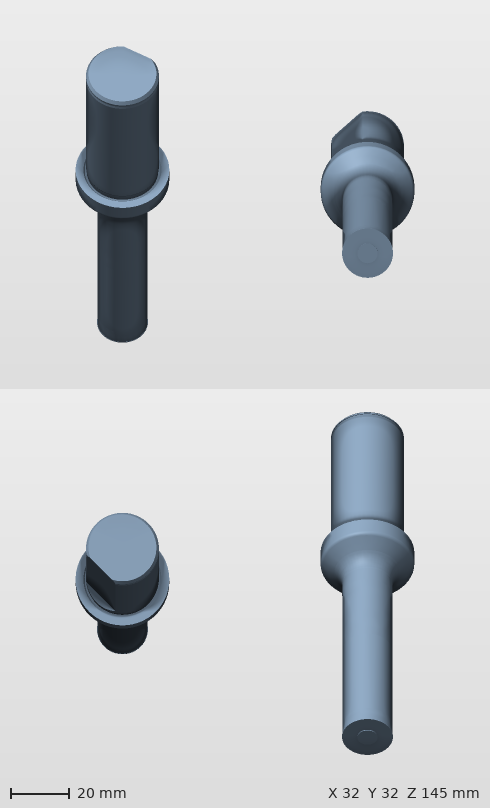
import cadquery as cq
import math

total_length = 145.0
collar_top = 89.0
collar_edge_bottom = 83.5
flare_bottom = 73.1
neck_bottom = 67.7
taper_bottom = 41.6
end_flare_top = 5.8
disc_top = 0.6
nub_height = 0.3

shank_radius = 25.0 / 2
groove_radius = 24.5 / 2
collar_radius = 32.0 / 2
neck_radius = 17.3 / 2
stem_radius = 17.0 / 2
disc_radius = 8.7
nub_radius = 3.5

end_chamfer_width = 0.9
end_chamfer_height = 1.2
end_groove_top = 143.4
end_groove_bottom = 142.7
end_groove_ramp_bottom = 141.8

undercut_top = 91.0
undercut_ramp_height = 0.6
recess_radius = 13.3
recess_depth = 0.5

flare_angle = math.radians(39)
flare_slope = math.tan(flare_angle)
collar_blend_length = 0.9
cone_collar_height = collar_edge_bottom - collar_blend_length
cone_neck_height = cone_collar_height - flare_slope * (collar_radius - neck_radius)


def cone_point(radius):
    """Point of the flare cone at the given radius."""
    return radius, cone_neck_height + flare_slope * (radius - neck_radius)


neck_blend_length = cone_neck_height - flare_bottom
cone_bottom = cone_point(neck_radius + neck_blend_length * math.cos(flare_angle))
cone_top = cone_point(collar_radius - collar_blend_length * math.cos(flare_angle))

flat_distance = 10.3
flat_bottom = 95.0


def drive_flat_cutter():
    """Block that removes the flat, with a sloped run-out at its lower end."""
    overshoot = 2 * (collar_radius - flat_distance)
    outer_y = flat_distance + overshoot
    return (
        cq.Workplane("YZ")
        .moveTo(flat_distance, flat_bottom)
        .lineTo(outer_y, flat_bottom - overshoot)
        .lineTo(outer_y, total_length + overshoot)
        .lineTo(flat_distance, total_length + overshoot)
        .close()
        .extrude(collar_radius, both=True)
    )


def make_holder():
    """Turned shank, collar and stem."""
    turned_body = (
        cq.Workplane("XZ")
        .moveTo(0, disc_top)
        .lineTo(neck_radius, disc_top)
        .lineTo(stem_radius, end_flare_top)
        .lineTo(stem_radius, taper_bottom)
        .lineTo(neck_radius, neck_bottom)
        .lineTo(neck_radius, flare_bottom)
        .tangentArcPoint(cone_bottom, relative=False)
        .lineTo(*cone_top)
        .tangentArcPoint((collar_radius, collar_edge_bottom), relative=False)
        .lineTo(collar_radius, collar_top)
        .lineTo(recess_radius, collar_top)
        .lineTo(recess_radius - recess_depth, collar_top - recess_depth)
        .lineTo(groove_radius, collar_top - recess_depth)
        .lineTo(groove_radius, undercut_top - undercut_ramp_height)
        .lineTo(shank_radius, undercut_top)
        .lineTo(shank_radius, end_groove_ramp_bottom)
        .lineTo(groove_radius, end_groove_bottom)
        .lineTo(groove_radius, end_groove_top)
        .lineTo(shank_radius, end_groove_top)
        .lineTo(shank_radius, total_length - end_chamfer_height)
        .lineTo(shank_radius - end_chamfer_width, total_length)
        .lineTo(0, total_length)
        .close()
        .revolve(360, (0, 0, 0), (0, 1, 0))
    )
    return turned_body.cut(drive_flat_cutter())


def make_tip_disc():
    """Thin disc on the lower end of the stem, with a central nub below it."""
    nub = cq.Workplane("XY").circle(nub_radius).extrude(nub_height)
    disc = (
        cq.Workplane("XY")
        .workplane(offset=nub_height)
        .circle(disc_radius)
        .extrude(disc_top - nub_height)
    )
    return disc.union(nub)


holder = make_holder()
tip_disc = make_tip_disc()

result = cq.Compound.makeCompound([holder.val(), tip_disc.val()])